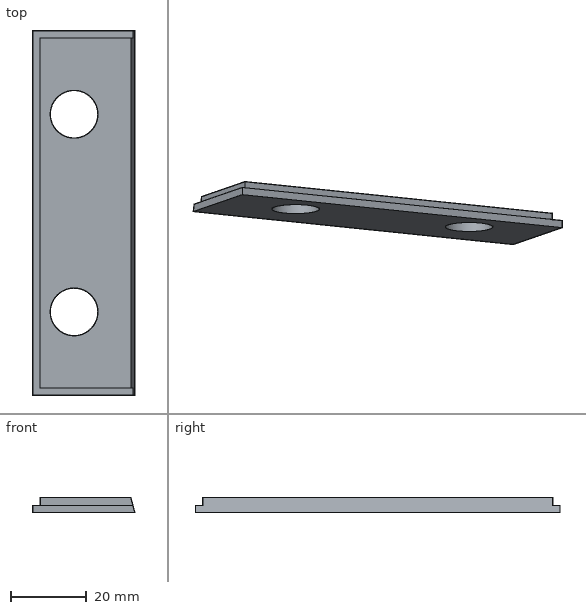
import cadquery as cq
import math

LENGTH = 96.0
WIDTH = 27.0
THICKNESS = 4.0

RIM_HEIGHT = 1.9
SIDE_LEDGE = 2.0
END_LEDGE = 1.9

SLOPE_ANGLE = 15.0

HOLE_DIAMETER = 12.5
HOLE_SPACING = 52.0
HOLE_SIDE_OFFSET = 10.9

LEFT = -WIDTH / 2
RIGHT = WIDTH / 2


def sloped_layer(left, length, bottom, top):
    """Layer between two heights whose +X end follows the plate's sloped side."""
    inset_per_height = math.tan(math.radians(SLOPE_ANGLE))
    profile = [
        (left, bottom),
        (RIGHT - bottom * inset_per_height, bottom),
        (RIGHT - top * inset_per_height, top),
        (left, top),
    ]
    return cq.Workplane("XZ").polyline(profile).close().extrude(length / 2, both=True)


def make_plate():
    """Stepped plate with one sloped long side and two round through holes."""
    base = sloped_layer(LEFT, LENGTH, 0, RIM_HEIGHT)
    raised_face = sloped_layer(LEFT + SIDE_LEDGE, LENGTH - 2 * END_LEDGE, RIM_HEIGHT, THICKNESS)
    body = base.union(raised_face).clean()

    hole_x = LEFT + HOLE_SIDE_OFFSET
    hole_centres = [(hole_x, side * HOLE_SPACING / 2) for side in (-1, 1)]
    holes = (
        cq.Workplane("XY")
        .pushPoints(hole_centres)
        .circle(HOLE_DIAMETER / 2)
        .extrude(THICKNESS)
    )
    return body.cut(holes).solids()


plate = make_plate()

result = cq.Compound.makeCompound([plate.val()])